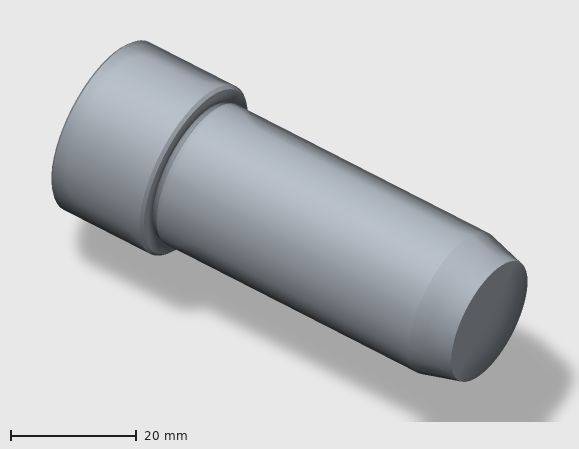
import cadquery as cq

total_length = 75.0
head_diameter = 30.0
head_length = 18.0
head_chamfer = 0.5
shank_diameter = 25.0
neck_diameter = 24.2
neck_length = 0.6
neck_blend = 0.45
tip_length = 7.0
tip_diameter = 21.2

head_radius = head_diameter / 2
shank_radius = shank_diameter / 2
neck_radius = neck_diameter / 2
tip_radius = tip_diameter / 2
neck_end = head_length + neck_length
shank_start = neck_end + neck_blend
tip_start = total_length - tip_length

profile = (
    cq.Workplane("XY")
    .moveTo(0, 0)
    .lineTo(0, head_radius - head_chamfer)
    .lineTo(head_chamfer, head_radius)
    .lineTo(head_length - head_chamfer, head_radius)
    .lineTo(head_length, head_radius - head_chamfer)
    .lineTo(head_length, neck_radius)
    .lineTo(neck_end, neck_radius)
    .tangentArcPoint((shank_start, shank_radius), relative=False)
    .lineTo(tip_start, shank_radius)
    .lineTo(total_length, tip_radius)
    .lineTo(total_length, 0)
    .close()
)

body = profile.revolve(360, (0, 0, 0), (1, 0, 0))
result = body.translate((-total_length / 2, 0, 0))